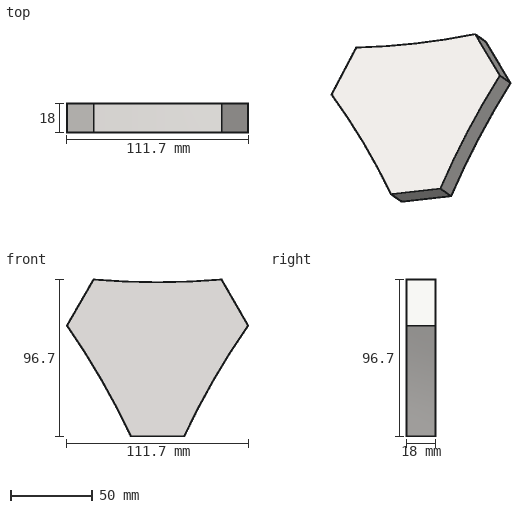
import cadquery as cq
import math

overall_width = 111.7
thickness = 18.0
short_side = 32.8
hollow_depth = 1.7

long_side = overall_width - short_side
side_count = 3
sector = 360 / side_count

short_side_distance = (short_side + 2 * long_side) / (2 * math.sqrt(3))
long_side_distance = (long_side + 2 * short_side) / (2 * math.sqrt(3))


def turned(x, z, degrees):
    """Rotate a profile point counter-clockwise about the plate centre."""
    angle = math.radians(degrees)
    return (
        x * math.cos(angle) - z * math.sin(angle),
        x * math.sin(angle) + z * math.cos(angle),
    )


outline = cq.Workplane("XZ").moveTo(-short_side / 2, -short_side_distance)
for index in range(side_count):
    turn = index * sector
    short_end = turned(short_side / 2, -short_side_distance, turn)
    hollow_middle = turned(0, long_side_distance - hollow_depth, turn - sector)
    next_start = turned(-short_side / 2, -short_side_distance, turn + sector)
    outline = outline.lineTo(*short_end).threePointArc(hollow_middle, next_start)

result = outline.close().extrude(thickness / 2, both=True)